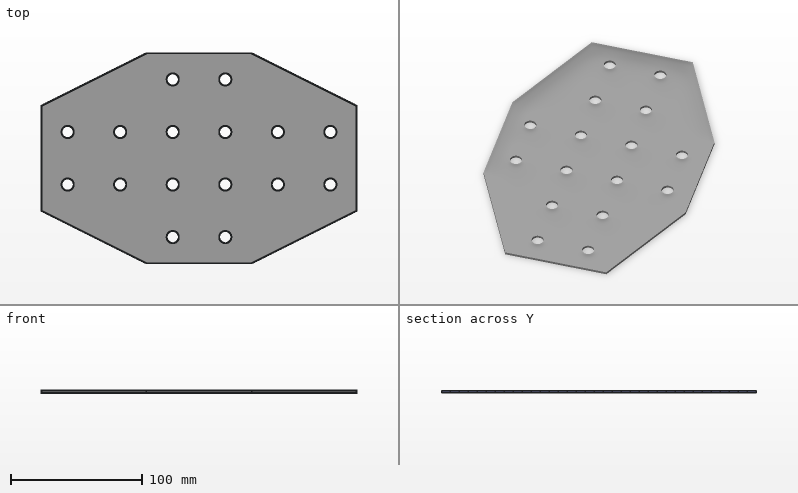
import cadquery as cq

length = 240.0
thickness = 2.0
hole_diameter = 9.0

columns = 6
rows = 4
pitch = length / columns
width = rows * pitch

end_x = length / 2
side_y = width / 2
corner_x = end_x - 2 * pitch
corner_y = side_y - pitch
outline = [
    (end_x, -corner_y),
    (end_x, corner_y),
    (corner_x, side_y),
    (-corner_x, side_y),
    (-end_x, corner_y),
    (-end_x, -corner_y),
    (-corner_x, -side_y),
    (corner_x, -side_y),
]
plate = cq.Workplane("XY").polyline(outline).close().extrude(thickness)


def cross_hole_centers():
    """Cell centres of the two middle rows and the two middle columns."""
    centers = []
    for column in range(columns):
        for row in range(rows):
            x = (column - (columns - 1) / 2) * pitch
            y = (row - (rows - 1) / 2) * pitch
            if abs(x) < pitch or abs(y) < pitch:
                centers.append((x, y))
    return centers


top_face = plate.faces(">Z").workplane(origin=(0, 0, thickness))
result = top_face.pushPoints(cross_hole_centers()).hole(hole_diameter)